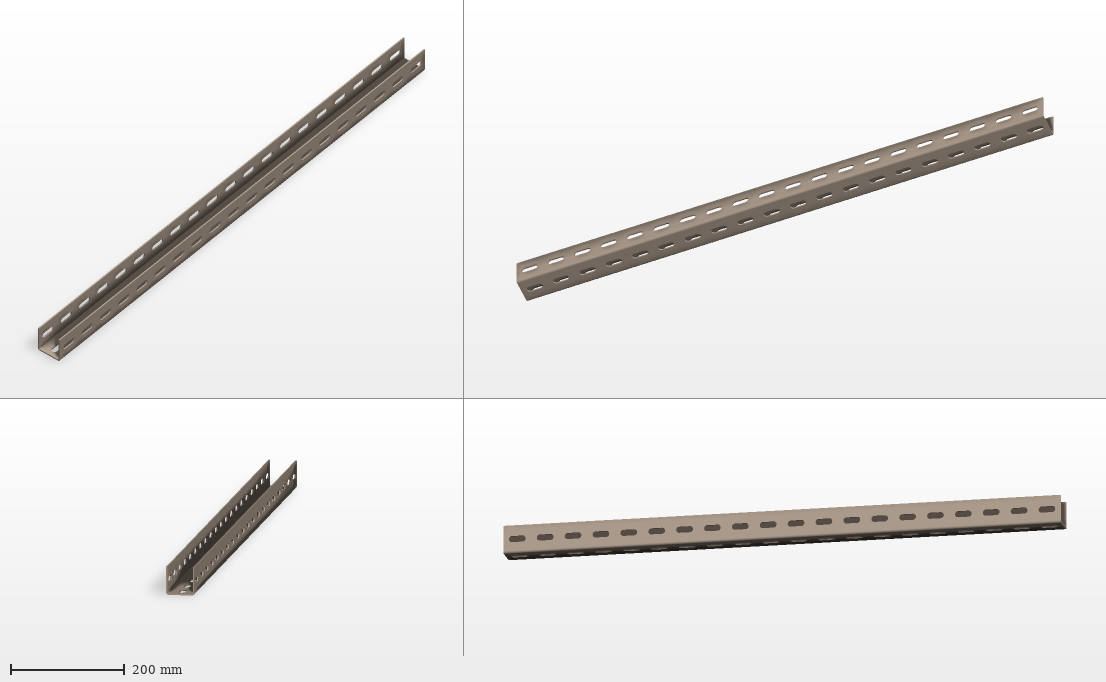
import cadquery as cq

length = 1000.0
width = 50.0
height = 50.0
wall = 2.5
outer_bend_radius = 4.0
inner_bend_radius = outer_bend_radius - wall

pitch = 50.0
slot_length = 30.0
slot_width = 11.0
slot_count = round(length / pitch)


def rounded_block(block_width, bend_radius):
    """Full-length block centred on the origin, with its two lower long edges rounded."""
    block = cq.Workplane("XY").box(block_width, length, height)
    return block.edges("|Y and <Z").fillet(bend_radius)


def channel():
    """U-shaped channel along Y, open at the top."""
    cavity = rounded_block(width - 2 * wall, inner_bend_radius).translate((0, 0, wall))
    return rounded_block(width, outer_bend_radius).cut(cavity)


def slot_cutters(depth):
    """Row of round-ended slots along Y, extruded along Z and centred on the origin."""
    return (
        cq.Workplane("XY")
        .rarray(10, pitch, 1, slot_count)
        .slot2D(slot_length, slot_width, 90)
        .extrude(depth / 2, both=True)
    )


base_cutters = slot_cutters(3 * wall).translate((0, 0, -height / 2))
flange_cutters = slot_cutters(width + 2 * wall).rotate((0, 0, 0), (0, 1, 0), 90)

result = channel().cut(base_cutters).cut(flange_cutters)